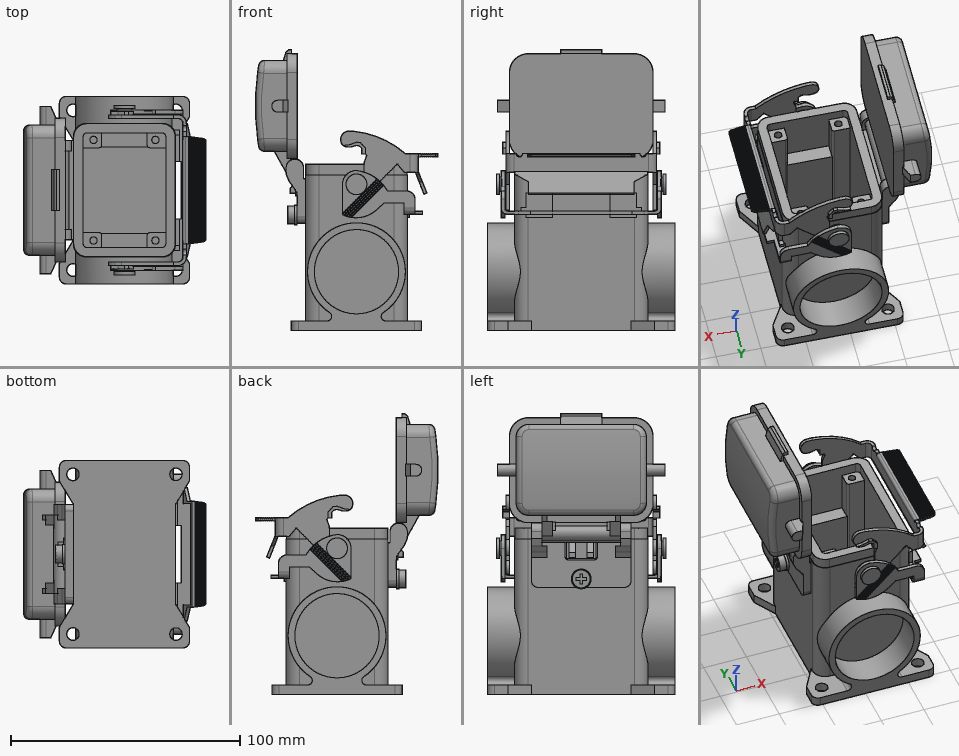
import cadquery as cq
import math

overall_depth = 82.0
overall_height = 122.7
overlap = 1.2

body_half_x = 22.3
body_half_y = 29.2
body_height = 72.8
body_corner_radius = 5.9
collar_height = 4.8
collar_step = 0.18
cavity_half_x = 18.0
cavity_half_y = 25.0
cavity_corner_radius = 1.7
floor_thickness = 4.3

pad_length_x = 8.1
pad_length_y = 6.5
pad_corner_radius = 1.1
pad_hole_radius = 1.6
pad_hole_depth = 7.4
pad_hole_x = 13.5
pad_hole_y = 22.0
ledge_depth = 6.1
ledge_top = 49.1

base_half_x = 28.5
base_thickness = 4.3
base_corner_radius = 3.1
foot_straight_y = 32.0
foot_inner_y = 21.7
foot_hole_radius = 2.7
foot_hole_x = 22.5
foot_hole_y = 34.9

hub_radius = 21.4
hub_z = 25.8
hub_bore_radius = 18.4
hub_bore_depth = 13.4
neck_fillet_radius = 2.0

flange_x0, flange_x1 = -30.4, -25.8
flange_z0, flange_z1 = 75.1, 121.0
flange_half_y = 31.4
flange_corner_radius = 8.3
dome_half_y = 28.5
dome_z0, dome_z1 = 78.3, 118.1
dome_corner_radius = 5.6
dome_peak_x = -44.2
dome_crown = 1.8
dome_edge_radius = 2.7
peg_radius = 2.6
peg_half_y = 36.6
peg_axis_x = -34.4
lid_tab_half_y = 9.0

hinge_x, hinge_z = -26.9, 71.2
ear_radius = 3.8
barrel_x, barrel_z = -27.6, 70.5
barrel_radius = 3.3
ear_inner_y, ear_outer_y = 17.2, 21.7
lid_arm_inner_y = 15.0
knuckle_inner_y, knuckle_step_y = 11.3, 12.6
plate_x = -25.9
plate_z0, plate_z1 = 46.9, 66.4
plate_corner_radius = 2.8
gusset_z0, gusset_z1 = 60.0, 65.0
screw_z = 50.6
screw_head_radius = 3.9
screw_washer_radius = 4.3
screw_washer_x = -27.0
screw_tip_x = -30.1
cross_length = 4.4
cross_width = 1.2
cross_depth = 1.0
hook_rim_half_y = 7.0
hook_rim_wall = 0.6
hook_rim_x = -26.6
hook_rim_z = 58.9
hook_rim_corner_radius = 1.2
hook_x = -29.0
hook_inner_y, hook_outer_y = 2.5, 5.4

pivot_z = 64.0
lever_inner_y, lever_outer_y = 31.3, 32.9
lever_thickness = lever_outer_y - lever_inner_y
lever_boss_radius = 3.9
lever_web_x = 27.0
lever_bend_radius = 3.5
lever_web_z0, lever_web_z1 = 69.1, 77.3
lip_outer_y = 34.4
lever_tail_z = 52.5
lever_heel_radius = 3.1
tab_root_half_y = 29.1
tab_tip_half_y = 23.1
relief_radius = 1.4
relief_y = 27.0
grip_tip_x = 35.6
grip_half_y = 23.5
grip_tip_half_y = 22.6
grip_thickness = 1.5
grip_groove_pitch = 0.9
grip_groove_count = 9
grip_groove_depth = 0.4

clip_inner_y, clip_outer_y = 33.3, 35.0
bar_x0, bar_x1 = 20.7, 25.7
bar_z0, bar_z1 = 50.8, 53.8
bar_thickness = 1.5
bar_inner_radius = 1.2
bar_lip_x = 28.8
bar_lip_half_y = 22.1
bar_window_x = 24.8
bar_window_half_y = 12.5
block_x = 24.0
block_outer_y = 24.0
block_top = 60.1
block_foot_x = 23.1
block_foot_z = 49.3
wing_outer_y = 26.3
button_radius = 4.5
button_inner_y, button_outer_y = 35.6, 37.1
pivot_pin_radius = 3.2
band_groove_count = 5
band_groove_pitch = 0.92
band_groove_width = 0.4
band_groove_depth = 0.4

half_depth = overall_depth / 2


def box(x0, x1, y0, y1, z0, z1):
    return cq.Workplane("XY").box(x1 - x0, y1 - y0, z1 - z0, centered=False).translate((x0, y0, z0))


def side_plane(y):
    """Plane across Y; outlines drawn on it as (x, z) extrude towards -Y."""
    return cq.Workplane("XZ", origin=(0, y, 0))


def side_prism(points, y0, y1):
    return side_plane(y1).polyline(points).close().extrude(y1 - y0)


def rod_y(x, z, radius, y0, y1):
    return side_plane(y1).center(x, z).circle(radius).extrude(y1 - y0)


def rod_x(y, z, radius, x0, x1):
    return cq.Workplane("YZ", origin=(x0, y, z)).circle(radius).extrude(x1 - x0)


def both_sides(shape):
    return shape.union(shape.mirror("XZ"))


def rounded_block(half_x, half_y, z0, z1, radius):
    return box(-half_x, half_x, -half_y, half_y, z0, z1).edges("|Z").fillet(radius)


def base_plate():
    quarter = [
        (base_half_x, half_depth),
        (base_half_x, foot_straight_y),
        (body_half_x, foot_inner_y),
    ]
    right = quarter + [(x, -y) for x, y in reversed(quarter)]
    outline = right + [(-x, -y) for x, y in right]
    plate = cq.Workplane("XY").polyline(outline).close().extrude(base_thickness)
    plate = plate.edges("|Z and (>Y or <Y)").fillet(base_corner_radius)
    holes = [(i * foot_hole_x, j * foot_hole_y) for i in (-1, 1) for j in (-1, 1)]
    return plate, cq.Workplane("XY").pushPoints(holes).circle(foot_hole_radius).extrude(base_thickness)


def hub_neck():
    """Web from the hub down to the base, blended by a rounded notch on each side."""
    notch_z = base_thickness + neck_fillet_radius
    reach = hub_radius + neck_fillet_radius
    notch_x = math.sqrt(reach**2 - (hub_z - notch_z) ** 2)
    tangent_z = hub_z - (hub_z - notch_z) * hub_radius / reach
    neck = box(-notch_x, notch_x, cavity_half_y, half_depth, base_thickness / 2, tangent_z)
    for x in (-notch_x, notch_x):
        neck = neck.cut(rod_y(x, notch_z, neck_fillet_radius, cavity_half_y, half_depth))
    return neck


def insert_seats():
    """Four screw pads in the corners and a lower ledge behind each hub."""
    pad_top = body_height - collar_height
    corner = box(
        cavity_half_x - pad_length_x, cavity_half_x + overlap,
        cavity_half_y - pad_length_y, cavity_half_y + overlap,
        floor_thickness, pad_top,
    )
    pad = corner.edges("|Z and <X and <Y").fillet(pad_corner_radius)
    hole = (
        cq.Workplane("XY", origin=(pad_hole_x, pad_hole_y, pad_top - pad_hole_depth))
        .circle(pad_hole_radius).extrude(pad_hole_depth)
    )
    pad = pad.cut(hole)
    pads = pad.union(pad.mirror("YZ"))
    ledge = box(
        -cavity_half_x - overlap, cavity_half_x + overlap,
        cavity_half_y - ledge_depth, cavity_half_y + overlap,
        floor_thickness, ledge_top,
    )
    return both_sides(pads.union(ledge))


def housing():
    collar_z = body_height - collar_height
    shell = rounded_block(body_half_x, body_half_y, 0, collar_z, body_corner_radius)
    shell = shell.union(rounded_block(
        body_half_x - collar_step, body_half_y - collar_step, collar_z - overlap, body_height,
        body_corner_radius - collar_step,
    ))
    hub = rod_y(0, hub_z, hub_radius, cavity_half_y, half_depth).union(hub_neck())
    base, foot_holes = base_plate()
    cavity = rounded_block(cavity_half_x, cavity_half_y, floor_thickness, body_height, cavity_corner_radius)
    bore = rod_y(0, hub_z, hub_bore_radius, half_depth - hub_bore_depth, half_depth)
    solid = shell.union(base).union(both_sides(hub)).cut(foot_holes)
    return solid.cut(cavity).union(insert_seats()).cut(both_sides(bore))


def lid_dome():
    middle_z = (dome_z0 + dome_z1) / 2
    edge_x = dome_peak_x + dome_crown
    crowned = (
        side_plane(dome_half_y)
        .moveTo(flange_x0, dome_z0).lineTo(edge_x, dome_z0)
        .threePointArc((dome_peak_x, middle_z), (edge_x, dome_z1))
        .lineTo(flange_x0, dome_z1).close()
        .extrude(2 * dome_half_y)
    )
    frame = box(dome_peak_x - overlap, flange_x0, -dome_half_y, dome_half_y, dome_z0, dome_z1)
    dome = crowned.intersect(frame.edges("|X").fillet(dome_corner_radius))
    return dome.faces("<X").edges().fillet(dome_edge_radius)


def lid_peg():
    """Half-round-nosed side peg whose tip slants back to the flange rim."""
    peg_z = (flange_z0 + flange_z1) / 2
    plan = [
        (peg_axis_x - peg_radius, dome_half_y - overlap),
        (peg_axis_x - peg_radius, peg_half_y),
        (-32.2, peg_half_y),
        (-29.8, flange_half_y),
        (-29.8, dome_half_y - overlap),
    ]
    bar = cq.Workplane("XY", origin=(0, 0, peg_z - peg_radius)).polyline(plan).close().extrude(2 * peg_radius)
    nose = rod_y(peg_axis_x, peg_z, peg_radius, dome_half_y - overlap, peg_half_y)
    shank = box(peg_axis_x, flange_x1, dome_half_y - overlap, peg_half_y, peg_z - peg_radius, peg_z + peg_radius)
    return bar.intersect(nose.union(shank))


def lid_arm():
    root_z = dome_z0 + 0.4
    web = side_prism(
        [(-36.1, root_z), (-30.8, 69.2), (hinge_x, hinge_z), (-29.5, 76.3), (-29.5, root_z)],
        lid_arm_inner_y, ear_inner_y,
    )
    knuckle = side_prism(
        [(-34.5, 75.7), (-30.8, 69.2), (hinge_x, hinge_z), (-29.5, 75.7)],
        knuckle_step_y, ear_inner_y,
    )
    stop = box(-30.7, barrel_x, knuckle_inner_y, knuckle_step_y, barrel_z, flange_z0 + 0.4)
    return web.union(knuckle).union(stop)


def lid():
    flange = box(flange_x0, flange_x1, -flange_half_y, flange_half_y, flange_z0, flange_z1)
    flange = flange.edges("|X").fillet(flange_corner_radius)
    tab = side_prism(
        [
            (-31.9, dome_z1), (-30.8, overall_height - 1.0),
            (-29.6, overall_height), (-28.4, overall_height),
            (-28.4, flange_z1 - overlap), (-29.5, dome_z1),
        ],
        -lid_tab_half_y, lid_tab_half_y,
    )
    return flange.union(lid_dome()).union(tab).union(both_sides(lid_peg().union(lid_arm())))


def hinge_ear():
    ear = (
        side_plane(ear_outer_y)
        .moveTo(hinge_x + ear_radius, plate_z1).lineTo(hinge_x + ear_radius, hinge_z)
        .threePointArc((hinge_x, hinge_z + ear_radius), (hinge_x - ear_radius, hinge_z))
        .lineTo(hinge_x - ear_radius, 68.1).lineTo(-29.3, gusset_z1).lineTo(-24.5, gusset_z1)
        .lineTo(-24.5, plate_z1).close()
        .extrude(ear_outer_y - ear_inner_y)
    )
    gusset = side_prism(
        [(-29.3, gusset_z1), (-27.2, 62.2), (plate_x, gusset_z0), (-24.5, gusset_z0), (-24.5, gusset_z1)],
        lid_arm_inner_y, ear_outer_y,
    )
    return ear.union(gusset)


def screw():
    washer = rod_x(0, screw_z, screw_washer_radius, screw_washer_x, plate_x)
    head = rod_x(0, screw_z, screw_head_radius, screw_tip_x, screw_washer_x)
    recess_x = screw_tip_x + cross_depth
    arm, half_width = cross_length / 2, cross_width / 2
    cross = box(screw_tip_x, recess_x, -arm, arm, screw_z - half_width, screw_z + half_width)
    cross = cross.union(box(screw_tip_x, recess_x, -half_width, half_width, screw_z - arm, screw_z + arm))
    return washer.union(head).cut(cross)


def hook_rim():
    """U-shaped rim on the hinge plate around two wedge-shaped hooks."""
    outer = box(hook_rim_x, plate_x, -hook_rim_half_y, hook_rim_half_y, hook_rim_z, plate_z1)
    outer = outer.edges("|X and <Z").fillet(hook_rim_corner_radius)
    inner_half = hook_rim_half_y - hook_rim_wall
    inner = box(hook_rim_x, plate_x, -inner_half, inner_half, hook_rim_z + hook_rim_wall, plate_z1)
    wedge = side_prism(
        [(plate_x, plate_z1), (hook_x, 62.1), (hook_x, gusset_z0), (plate_x, gusset_z0)],
        hook_inner_y, hook_outer_y,
    )
    return outer.cut(inner).union(both_sides(wedge))


def hinge():
    plate = box(plate_x, -body_half_x, -ear_outer_y, ear_outer_y, plate_z0, plate_z1)
    plate = plate.edges("|X and <Z").fillet(plate_corner_radius)
    barrel = rod_y(barrel_x, barrel_z, barrel_radius, -ear_inner_y, ear_inner_y)
    return plate.union(both_sides(hinge_ear())).union(barrel).union(screw()).union(hook_rim())


hook_mouth = [
    (-5.9, 80.9), (-4.8, 80.3), (-2.5, 80.1), (0, 80.9),
    (1.2, 80.6), (2.2, 79.8), (2.2, 77.1), (3.9, 77.1),
]
hook_lip_top = [(3.9, 79.8), (1.7, 82.1), (0, 82.4), (-2.8, 81.2)]


def lever_side():
    """Hooked side outline of the lever, as a block across its full width."""
    outline = side_plane(lever_outer_y).moveTo(*hook_mouth[0])
    for point in hook_mouth[1:]:
        outline = outline.lineTo(*point)
    return (
        outline.lineTo(4.4, 76.6).lineTo(3.3, 73.4).lineTo(3.3, pivot_z)
        .lineTo(9.0, pivot_z).lineTo(17.8, 72.8).lineTo(21.0, lever_web_z0)
        .lineTo(lever_web_x, lever_web_z0).lineTo(lever_web_x, lever_web_z1).lineTo(21.4, lever_web_z1)
        .threePointArc((10.1, 84.3), (-1.2, 87.1)).lineTo(-4.0, 87.1)
        .threePointArc((-6.8, 84.7), hook_mouth[0]).close()
        .extrude(2 * lever_outer_y)
    )


def bent_sheet():
    """U-shaped sheet in plan: two legs along the housing and a web across +X."""
    z0, z1 = pivot_z, body_height + 16
    leg_end_x = -12.3
    outer = box(leg_end_x, lever_web_x, -lever_outer_y, lever_outer_y, z0, z1)
    inner = box(leg_end_x, lever_web_x - lever_thickness, -lever_inner_y, lever_inner_y, z0, z1)
    outer = outer.edges("|Z and >X").fillet(lever_bend_radius)
    inner = inner.edges("|Z and >X").fillet(lever_bend_radius - lever_thickness)
    return outer.cut(inner)


def grip():
    root_x = lever_web_x - lever_thickness
    plan = [
        (root_x, grip_half_y),
        (28.2, grip_half_y),
        (grip_tip_x - 1.0, grip_tip_half_y),
        (grip_tip_x, 21.8),
    ]
    outline = plan + [(x, -y) for x, y in reversed(plan)]
    grip_z0 = lever_web_z1 - grip_thickness
    plate = cq.Workplane("XY", origin=(0, 0, grip_z0)).polyline(outline).close().extrude(grip_thickness)
    plate = plate.edges("<X and >Z").fillet(grip_thickness - 0.1)
    for i in range(grip_groove_count):
        x = grip_tip_x - (i + 0.5) * grip_groove_pitch
        half = grip_groove_pitch * 0.35
        for z, inward in ((lever_web_z1, -1), (grip_z0, 1)):
            tip = (x, z + inward * grip_groove_depth)
            plate = plate.cut(side_prism([(x - half, z), tip, (x + half, z)], -grip_half_y, grip_half_y))
    return plate


def thumb_tab():
    """Slanted tab hanging from the lever web and narrowing towards its tip."""
    root_z = lever_web_z0 + 0.5
    slab = side_prism(
        [(25.5, root_z), (27.0, root_z), (30.8, 60.1), (29.5, 59.5)],
        -tab_root_half_y, tab_root_half_y,
    )
    right = [
        (tab_root_half_y, root_z),
        (tab_root_half_y, 68.4),
        (tab_tip_half_y, 65.0),
        (tab_tip_half_y, 58.9),
    ]
    face = right + [(-y, z) for y, z in reversed(right)]
    return slab.intersect(cq.Workplane("YZ", origin=(lever_web_x - 2.5, 0, 0)).polyline(face).close().extrude(9.8))


def lever():
    frame = lever_side().intersect(bent_sheet())
    for y in (-relief_y, relief_y):
        frame = frame.cut(rod_x(y, lever_web_z1, relief_radius, lever_web_x - 2.5, lever_web_x))
    grip_seat = box(
        lever_web_x - lever_thickness, lever_web_x, -grip_half_y, grip_half_y,
        lever_web_z1 - grip_thickness, lever_web_z1,
    )
    frame = frame.cut(grip_seat)
    lip = side_prism(hook_mouth + hook_lip_top, lever_inner_y, lip_outer_y)
    boss = rod_y(0, pivot_z, lever_boss_radius, lever_inner_y, lever_outer_y)
    tail = box(-2.5, 5.5, lever_inner_y, lever_outer_y, lever_tail_z, pivot_z)
    heel = rod_y(-2.5, lever_tail_z + lever_heel_radius, lever_heel_radius, lever_inner_y, lever_outer_y)
    return frame.union(both_sides(lip.union(boss).union(tail).union(heel))).union(grip()).union(thumb_tab())


def clip_side():
    plate = (
        side_plane(clip_outer_y)
        .moveTo(-6.1, 50.7).lineTo(-6.1, pivot_z)
        .threePointArc((-4.3, 68.2), (0, 70.0))
        .threePointArc((5.9, 68.2), (12.2, 63.1))
        .lineTo(13.5, 61.1).lineTo(22.0, 61.1)
        .threePointArc((24.8, 59.6), (bar_x1, 57.4))
        .lineTo(bar_x1, bar_z1).lineTo(bar_x0, bar_z1).lineTo(bar_x0, 55.7).lineTo(12.0, 55.7)
        .lineTo(8.3, 52.4).threePointArc((0.6, 49.3), (-6.1, 50.7)).close()
        .extrude(clip_outer_y - clip_inner_y)
    )
    middle = (2.0, 56.5)
    band_length = 36.8
    for i in range(band_groove_count):
        offset = (i - (band_groove_count - 1) / 2) * band_groove_pitch
        groove = box(
            -band_length / 2, band_length / 2, clip_outer_y - band_groove_depth, clip_outer_y,
            offset - band_groove_width / 2, offset + band_groove_width / 2,
        )
        groove = groove.rotate((0, 0, 0), (0, 1, 0), -45).translate((middle[0], 0, middle[1]))
        plate = plate.cut(groove)
    return plate


def clip_bar():
    """Cross bar behind the housing, bent up into both clip sides."""
    outer = box(bar_x0, bar_x1, -clip_outer_y, clip_outer_y, bar_z0, bar_z1)
    outer = outer.edges("|X and <Z").fillet(bar_inner_radius + bar_thickness)
    inner = box(bar_x0, bar_x1, -clip_inner_y, clip_inner_y, bar_z0 + bar_thickness, bar_z1)
    inner = inner.edges("|X and <Z").fillet(bar_inner_radius)
    lip = box(bar_x1, bar_lip_x, -bar_lip_half_y, bar_lip_half_y, bar_z0, bar_z0 + bar_thickness)
    window = box(
        body_half_x, bar_window_x, -bar_window_half_y, bar_window_half_y, bar_z0, bar_z0 + bar_thickness,
    )
    block = box(body_half_x - overlap, block_x, bar_window_half_y, block_outer_y, bar_z0, block_top)
    foot = box(body_half_x - overlap, block_foot_x, bar_window_half_y, block_outer_y, block_foot_z, bar_z0)
    wing = box(body_half_x - overlap, block_x, block_outer_y, wing_outer_y, bar_z0, bar_z1)
    stops = both_sides(block.union(foot).union(wing))
    return outer.cut(inner).union(lip).cut(window).union(stops)


def clip():
    pin = rod_y(0, pivot_z, pivot_pin_radius, lever_inner_y, button_inner_y)
    button = rod_y(0, pivot_z, button_radius, button_inner_y, button_outer_y)
    return both_sides(clip_side().union(pin).union(button)).union(clip_bar())


result = housing().union(hinge()).union(lid()).union(lever()).union(clip())